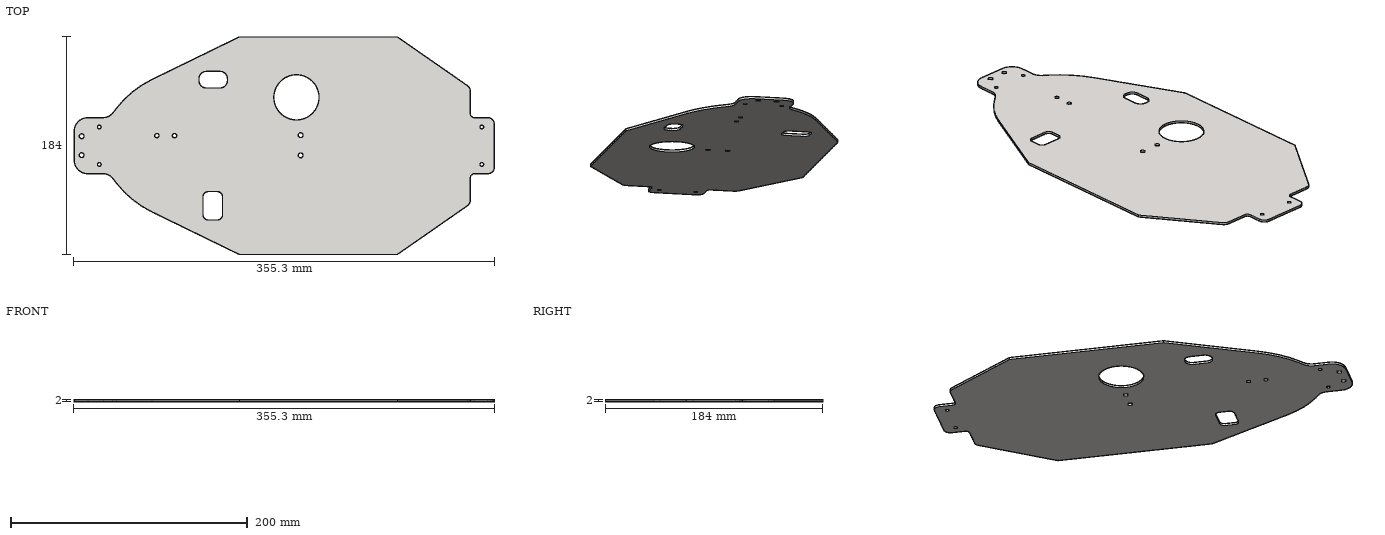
import cadquery as cq
import math

length = 355.3
width = 184.0
thickness = 2.0
half_length = length / 2
half_width = width / 2

tab_half_width = 23.8
front_corner_x = -38.0
front_flank_angle = 26.0
shoulder_start_x = -112.0
shoulder_radius = 85.3
shoulder_sweep = 26.0
rear_corner_x = 95.5
rear_edge_x = 157.5
rear_edge_half_width = 49.0

front_tab_radius = 11.7
front_neck_radius = 10.0
rear_tab_radius = 5.7
rear_neck_radius = 3.2
rear_edge_radius = 6.5

motor_hole_diameter = 38.0
motor_hole_center = (10.3, 41.0)
tab_hole_diameter = 3.0
tab_hole_y = 15.8
tab_hole_xs = (-156.5, 167.0)
nose_hole_diameter = 4.0
nose_hole_x = -171.3
nose_hole_y = 8.0
middle_hole_diameter = 4.0
middle_hole_x = 14.0
middle_hole_ys = (9.0, -8.0)
front_hole_diameter = 3.5
front_hole_xs = (-107.5, -92.7)
front_hole_y = 8.5

upper_window = ((-60.0, 55.8), (23.8, 14.0), 6.0)
lower_window = ((-60.5, -50.8), (16.5, 23.8), 4.3)


def point_on_shoulder(turn):
    """Point on the +Y shoulder arc after turning by the given degrees."""
    slope = math.radians(front_flank_angle)
    start_y = half_width - (front_corner_x - shoulder_start_x) * math.tan(slope)
    center_x = shoulder_start_x + shoulder_radius * math.sin(slope)
    center_y = start_y - shoulder_radius * math.cos(slope)
    angle = math.radians(front_flank_angle + turn)
    return (
        center_x - shoulder_radius * math.sin(angle),
        center_y + shoulder_radius * math.cos(angle),
    )


def neck_point():
    """Sharp corner where the tangent line off the shoulder meets the tab side."""
    x, y = point_on_shoulder(shoulder_sweep)
    slope = math.radians(front_flank_angle + shoulder_sweep)
    return x - (y - tab_half_width) / math.tan(slope), tab_half_width


def fillet_corners(plate, corner, radius):
    """Round the two vertical edges at a corner and at its mirror image in Y."""
    x, y = corner
    for side_y in (y, -y):
        edge = cq.selectors.NearestToPointSelector((x, side_y, thickness / 2))
        plate = plate.edges("|Z").edges(edge).fillet(radius)
    return plate


def make_plate():
    front_tab = (-half_length, tab_half_width)
    rear_tab = (half_length, tab_half_width)
    rear_neck = (rear_edge_x, tab_half_width)
    rear_edge = (rear_edge_x, rear_edge_half_width)
    half_plate = (
        cq.Workplane("XY")
        .moveTo(-half_length, 0)
        .lineTo(*front_tab)
        .lineTo(*neck_point())
        .lineTo(*point_on_shoulder(shoulder_sweep))
        .threePointArc(point_on_shoulder(shoulder_sweep / 2), point_on_shoulder(0))
        .lineTo(front_corner_x, half_width)
        .lineTo(rear_corner_x, half_width)
        .lineTo(*rear_edge)
        .lineTo(*rear_neck)
        .lineTo(*rear_tab)
        .lineTo(half_length, 0)
        .close()
        .extrude(thickness)
    )
    plate = half_plate.union(half_plate.mirror("XZ")).clean()
    plate = fillet_corners(plate, front_tab, front_tab_radius)
    plate = fillet_corners(plate, neck_point(), front_neck_radius)
    plate = fillet_corners(plate, rear_tab, rear_tab_radius)
    plate = fillet_corners(plate, rear_neck, rear_neck_radius)
    return fillet_corners(plate, rear_edge, rear_edge_radius)


def holes(centers, diameter):
    """Cutters for round through holes."""
    return cq.Workplane("XY").pushPoints(centers).circle(diameter / 2).extrude(thickness)


def window(center, size, corner_radius):
    """Cutter for a rectangular through window with rounded corners."""
    cutter = cq.Workplane("XY").center(*center).rect(*size).extrude(thickness)
    return cutter.edges("|Z").fillet(corner_radius)


tab_holes = [(x, y) for x in tab_hole_xs for y in (-tab_hole_y, tab_hole_y)]
nose_holes = [(nose_hole_x, y) for y in (-nose_hole_y, nose_hole_y)]
middle_holes = [(middle_hole_x, y) for y in middle_hole_ys]
front_holes = [(x, front_hole_y) for x in front_hole_xs]

result = (
    make_plate()
    .cut(holes([motor_hole_center], motor_hole_diameter))
    .cut(holes(tab_holes, tab_hole_diameter))
    .cut(holes(nose_holes, nose_hole_diameter))
    .cut(holes(middle_holes, middle_hole_diameter))
    .cut(holes(front_holes, front_hole_diameter))
    .cut(window(*upper_window))
    .cut(window(*lower_window))
)